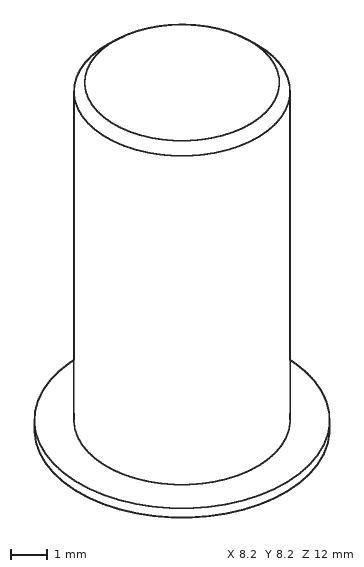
import cadquery as cq

total_height = 12.0
pin_diameter = 6.0
flange_diameter = 8.2
flange_thickness = 0.32
tip_chamfer = 0.3

flange = cq.Workplane("XY").circle(flange_diameter / 2).extrude(flange_thickness)

pin = (
    cq.Workplane("XY")
    .circle(pin_diameter / 2)
    .extrude(total_height)
    .faces(">Z")
    .chamfer(tip_chamfer)
)

result = flange.union(pin)